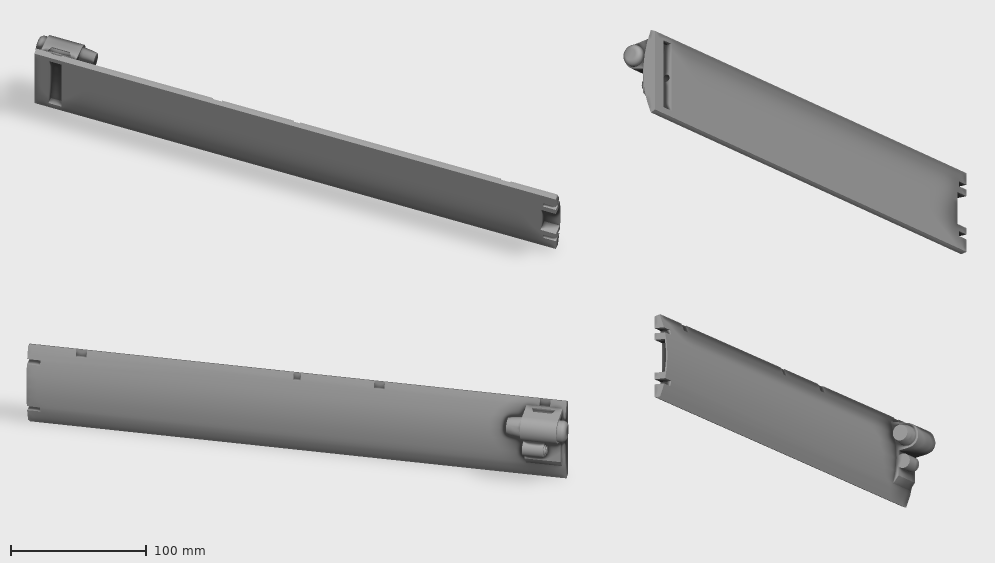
import cadquery as cq
import math

BLADE_LENGTH = 407.5
BLADE_HEIGHT = 64.24
BLADE_THICKNESS = 10.6
EDGE_THICKNESS = 3.8
EDGE_BEVEL_HEIGHT = 1.6
CORNER_CHAMFER = 1.5
HALF_HEIGHT = BLADE_HEIGHT / 2
BOW = BLADE_THICKNESS - EDGE_THICKNESS
BACK_RADIUS = (HALF_HEIGHT**2 + BOW**2) / (2 * BOW)
BACK_CENTRE_Y = BLADE_THICKNESS - BACK_RADIUS

POCKET_WALL = 1.2
POCKET_CENTRE_Z = 0.3
GROOVE_START = 11.0
GROOVE_WIDTH = 10.2
GROOVE_HEIGHT = 51.9
NOTCH_LENGTH = 12.0
NOTCH_HEIGHT = 24.8

SLOT_LENGTH = 10.0
SLOT_WIDTH = 3.8
SLOT_OFFSET = 19.3

SIDE_BORE_DIAMETER = 5.5
SIDE_BORE_Y = 4.4
SIDE_BORE_DEPTH = 10.0

EDGE_NOTCH_FRONT_Y = 3.1
EDGE_NOTCH_FLOOR_Z = 26.5
EDGE_NOTCHES = [
    (GROOVE_START + GROOVE_WIDTH / 2, 8.0),
    (141.5, 8.0),
    (BLADE_LENGTH / 2, 5.5),
    (367.0, 8.0),
]

BRACKET_START = 2.5
BRACKET_LENGTH = 27.3
BARREL_RADIUS = 9.4
OVERALL_DEPTH = 28.67
BARREL_Y = OVERALL_DEPTH - BARREL_RADIUS
BARREL_Z = 15.0
FOOT_FLARE = 10.0
FOOT_ROOT_Y = 6.0

RECESS_BASE_Y = 8.8
RECESS_TOP_Y = 13.4
RECESS_BASE_LENGTH = 18.0
RECESS_TOP_LENGTH = 14.0
RECESS_FLOOR_RISE = 0.2
RECESS_FLOOR_Z = BARREL_Z + BARREL_RADIUS + RECESS_FLOOR_RISE

KNOB_RADIUS = 8.0
KNOB_OVERHANG = 4.02
KNOB_ROUNDING = 3.6

SPIGOT_LENGTH = 11.2
SPIGOT_RADIUS = 7.7
SPIGOT_MIDDLE_RADIUS = 7.2
SPIGOT_TIP_RADIUS = 6.0

PAD_Y = 12.4
PAD_TOP_Z = 6.0
PAD_SHOULDER_Z = -14.5
PAD_BOTTOM_Z = -20.0
PAD_ROOT_Y = 7.0
BOSS_DIAMETER = 11.0
BOSS_RIM_DIAMETER = 10.0
BOSS_LENGTH = 16.0
BOSS_STEP_DIAMETERS = [8.0, 5.5]
BOSS_STEP_LENGTH = 1.0
BOSS_Y = 16.2
BOSS_Z = -3.7


def back_y(z, offset=0.0):
    """Y of the bowed back at height z, moved inward by offset."""
    return BACK_CENTRE_Y + math.sqrt((BACK_RADIUS - offset)**2 - z**2)


def cylinder_x(start, length, radius, y, z):
    return cq.Workplane("YZ", origin=(start, y, z)).circle(radius).extrude(length)


def make_blade():
    front_half = HALF_HEIGHT - EDGE_BEVEL_HEIGHT
    blade = (
        cq.Workplane("YZ")
        .moveTo(0, -front_half)
        .lineTo(EDGE_THICKNESS, -HALF_HEIGHT)
        .threePointArc((BLADE_THICKNESS, 0), (EDGE_THICKNESS, HALF_HEIGHT))
        .lineTo(0, front_half)
        .close()
        .extrude(BLADE_LENGTH)
    )
    for side in (-1, 1):
        corner = (
            cq.Workplane("XZ")
            .moveTo(BLADE_LENGTH, side * HALF_HEIGHT)
            .lineTo(BLADE_LENGTH - CORNER_CHAMFER, side * HALF_HEIGHT)
            .lineTo(BLADE_LENGTH, side * (HALF_HEIGHT - CORNER_CHAMFER))
            .close()
            .extrude(-BLADE_THICKNESS)
        )
        blade = blade.cut(corner)
    for x, length in EDGE_NOTCHES:
        blade = blade.cut(edge_notch(x, length))
    return blade


def front_pocket(start, length, height):
    """Pocket open to the front face, with a concave floor."""
    half = height / 2
    side_y = back_y(half, POCKET_WALL)
    return (
        cq.Workplane("YZ", origin=(start, 0, POCKET_CENTRE_Z))
        .moveTo(0, -half)
        .lineTo(side_y, -half)
        .threePointArc((BLADE_THICKNESS - POCKET_WALL, 0), (side_y, half))
        .lineTo(0, half)
        .close()
        .extrude(length)
    )


def end_slot(z):
    return cq.Workplane("XY").box(
        SLOT_LENGTH, BLADE_THICKNESS, SLOT_WIDTH, centered=(False, False, True)
    ).translate((BLADE_LENGTH - SLOT_LENGTH, 0, z))


def edge_notch(x, length):
    return cq.Workplane("XY").box(
        length,
        BLADE_THICKNESS - EDGE_NOTCH_FRONT_Y,
        HALF_HEIGHT - EDGE_NOTCH_FLOOR_Z,
        centered=(True, False, False),
    ).translate((x, EDGE_NOTCH_FRONT_Y, EDGE_NOTCH_FLOOR_Z))


def make_bracket():
    flare = math.radians(FOOT_FLARE)
    tangent_y = BARREL_Y + BARREL_RADIUS * math.sin(flare)
    tangent_half = BARREL_RADIUS * math.cos(flare)
    root_half = tangent_half + (tangent_y - FOOT_ROOT_Y) * math.tan(flare)
    bracket = (
        cq.Workplane("YZ", origin=(BRACKET_START, 0, BARREL_Z))
        .moveTo(FOOT_ROOT_Y, -root_half)
        .lineTo(tangent_y, -tangent_half)
        .threePointArc((BARREL_Y + BARREL_RADIUS, 0), (tangent_y, tangent_half))
        .lineTo(FOOT_ROOT_Y, root_half)
        .close()
        .extrude(BRACKET_LENGTH)
    )
    middle = BRACKET_START + BRACKET_LENGTH / 2
    recess = (
        cq.Workplane("XY", origin=(middle, 0, RECESS_FLOOR_Z))
        .moveTo(-RECESS_BASE_LENGTH / 2, RECESS_BASE_Y)
        .lineTo(RECESS_BASE_LENGTH / 2, RECESS_BASE_Y)
        .lineTo(RECESS_TOP_LENGTH / 2, RECESS_TOP_Y)
        .lineTo(-RECESS_TOP_LENGTH / 2, RECESS_TOP_Y)
        .close()
        .extrude(BARREL_RADIUS)
    )
    return bracket.cut(recess)


def make_knob():
    length = BRACKET_START + KNOB_OVERHANG
    knob = cylinder_x(-KNOB_OVERHANG, length, KNOB_RADIUS, BARREL_Y, BARREL_Z)
    return knob.faces("<X").edges().fillet(KNOB_ROUNDING)


def make_spigot():
    start = BRACKET_START + BRACKET_LENGTH
    return (
        cq.Workplane("XY", origin=(start, BARREL_Y, BARREL_Z))
        .lineTo(0, SPIGOT_RADIUS)
        .threePointArc(
            (SPIGOT_LENGTH / 2, SPIGOT_MIDDLE_RADIUS),
            (SPIGOT_LENGTH, SPIGOT_TIP_RADIUS),
        )
        .lineTo(SPIGOT_LENGTH, 0)
        .close()
        .revolve(360, (0, 0, 0), (1, 0, 0))
    )


def make_pad():
    """Pad on the bowed back, with an upright rear face sloping in at the bottom."""
    return (
        cq.Workplane("YZ", origin=(BRACKET_START, 0, 0))
        .moveTo(PAD_ROOT_Y, PAD_TOP_Z)
        .lineTo(PAD_Y, PAD_TOP_Z)
        .lineTo(PAD_Y, PAD_SHOULDER_Z)
        .lineTo(back_y(PAD_BOTTOM_Z), PAD_BOTTOM_Z)
        .lineTo(PAD_ROOT_Y, PAD_BOTTOM_Z)
        .close()
        .extrude(BRACKET_LENGTH)
    )


def make_boss():
    """Boss ending flush with the far face of the bracket, stepped at its near end."""
    start = BRACKET_START + BRACKET_LENGTH - BOSS_LENGTH
    boss = cylinder_x(start, BOSS_LENGTH, BOSS_DIAMETER / 2, BOSS_Y, BOSS_Z)
    boss = boss.faces("<X").edges().chamfer((BOSS_DIAMETER - BOSS_RIM_DIAMETER) / 2)
    for count, diameter in enumerate(BOSS_STEP_DIAMETERS, start=1):
        reach = count * BOSS_STEP_LENGTH
        boss = boss.union(cylinder_x(start - reach, reach, diameter / 2, BOSS_Y, BOSS_Z))
    return boss


body = make_blade()
body = body.union(make_bracket()).union(make_pad())
body = body.union(make_knob()).union(make_spigot())
body = body.union(make_boss())

body = body.cut(front_pocket(GROOVE_START, GROOVE_WIDTH, GROOVE_HEIGHT))
body = body.cut(front_pocket(BLADE_LENGTH - NOTCH_LENGTH, NOTCH_LENGTH, NOTCH_HEIGHT))
for slot_offset in (-SLOT_OFFSET, SLOT_OFFSET):
    body = body.cut(end_slot(POCKET_CENTRE_Z + slot_offset))

side_bore = cylinder_x(
    GROOVE_START + GROOVE_WIDTH,
    SIDE_BORE_DEPTH,
    SIDE_BORE_DIAMETER / 2,
    SIDE_BORE_Y,
    POCKET_CENTRE_Z,
)
body = body.cut(side_bore)

result = body